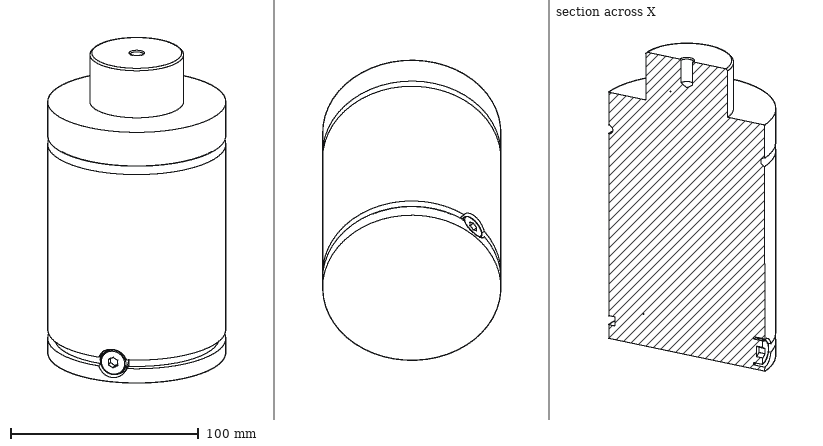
import cadquery as cq
import math

total_height = 170.0
body_diameter = 95.0
body_radius = body_diameter / 2
body_height = 142.3

rod_diameter = 50.0
rod_chamfer = 1.0
rod_hole_diameter = 6.8
rod_hole_chamfer = 0.7
rod_hole_depth = 13.6
drill_point_angle = 118.0

wire_groove_radius = 2.4
wire_groove_height = 120.7

base_groove_bottom = 8.2
base_groove_top = 13.1
base_groove_floor_diameter = 87.7

plug_height = 10.5
recess_diameter = 16.0
recess_floor_distance = 40.8
plug_diameter = 14.0
plug_face_distance = 46.2
plug_chamfer = 0.5
socket_across_flats = 5.1
socket_depth = 3.7


def make_cylinder_body():
    body = cq.Workplane("XY").circle(body_radius).extrude(body_height)
    rod = (
        cq.Workplane("XY")
        .circle(rod_diameter / 2)
        .extrude(total_height)
        .faces(">Z")
        .chamfer(rod_chamfer)
    )
    return body.union(rod)


def make_rod_hole():
    """Blind drilled hole with a conical end and a chamfered mouth."""
    hole_radius = rod_hole_diameter / 2
    mouth_radius = hole_radius + rod_hole_chamfer
    wall_end = total_height - rod_hole_depth
    point_depth = hole_radius / math.tan(math.radians(drill_point_angle / 2))
    return (
        cq.Workplane("XZ")
        .moveTo(0, total_height)
        .lineTo(mouth_radius, total_height)
        .lineTo(hole_radius, total_height - rod_hole_chamfer)
        .lineTo(hole_radius, wall_end)
        .lineTo(0, wall_end - point_depth)
        .close()
        .revolve()
    )


def make_wire_groove():
    return cq.Workplane(
        cq.Solid.makeTorus(body_radius, wire_groove_radius, cq.Vector(0, 0, wire_groove_height))
    )


def make_base_groove():
    return (
        cq.Workplane("XY")
        .workplane(offset=base_groove_bottom)
        .circle(body_radius)
        .circle(base_groove_floor_diameter / 2)
        .extrude(base_groove_top - base_groove_bottom)
    )


def plug_plane(distance):
    """Plane facing -Y at the given distance from the main axis, centred on the plug."""
    return cq.Workplane("XZ", origin=(0, -distance, plug_height))


def make_plug_recess():
    return (
        plug_plane(recess_floor_distance)
        .circle(recess_diameter / 2)
        .extrude(body_radius - recess_floor_distance)
    )


def make_plug():
    plug = (
        plug_plane(recess_floor_distance)
        .circle(plug_diameter / 2)
        .extrude(plug_face_distance - recess_floor_distance)
        .faces("<Y")
        .chamfer(plug_chamfer)
    )
    socket = (
        plug_plane(plug_face_distance)
        .polygon(6, socket_across_flats, circumscribed=True)
        .extrude(-socket_depth)
    )
    return plug.cut(socket)


result = (
    make_cylinder_body()
    .cut(make_rod_hole())
    .cut(make_wire_groove())
    .cut(make_base_groove())
    .cut(make_plug_recess())
    .union(make_plug())
)